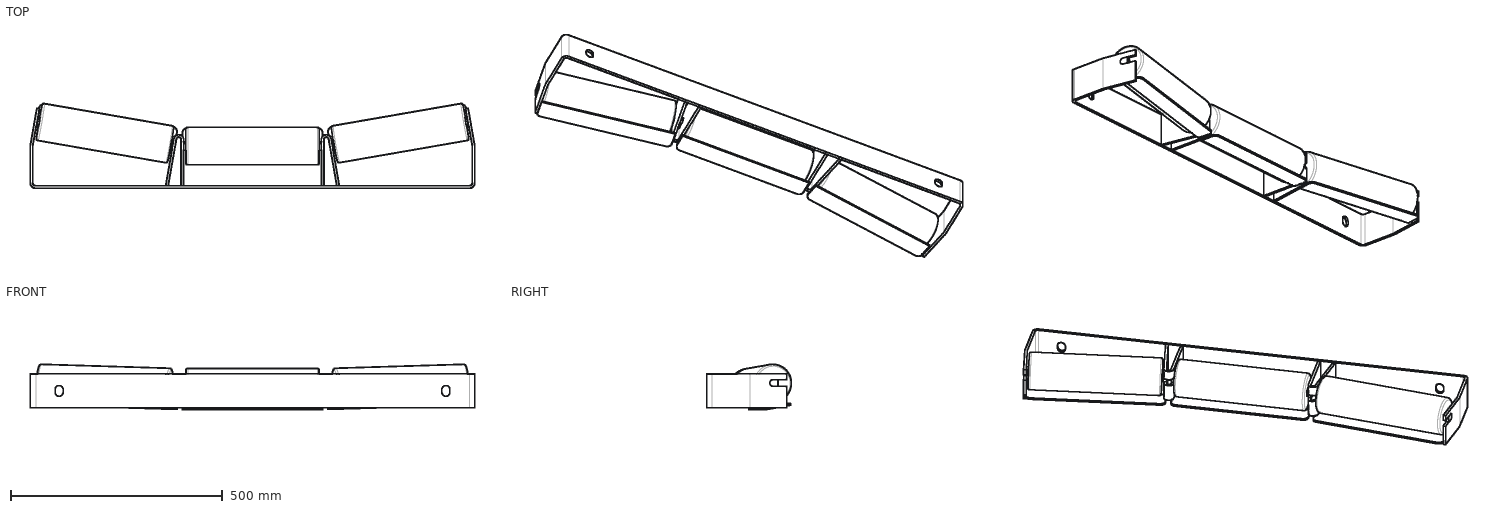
import cadquery as cq
import math

frame_length = 1050.0
frame_height = 80.0
sheet = 6.0
corner_radius = 13.0
bend_y = 102.0
plate_lean_length = 89.0
trough_angle = 10.0
mount_slot_width = 19.0
mount_slot_height = 25.0
mount_slot_inset = 68.0

bracket_inner_x = 163.0
bracket_top_y = 127.0
bracket_radius = 12.0

roller_diameter = 89.0
roller_length = 315.0
roller_edge_radius = 4.0
shaft_diameter = 20.0
shaft_flat_width = 16.0
shoulder_clearance = 0.5
shaft_end_root = 2.0
axis_y = 100.0
axis_z = 48.0
knee_x = 172.0
forward_tilt = 10.0

guard_width = 43.0
guard_thickness = 4.0
guard_corner_radius = 13.0

half_length = frame_length / 2
lean = math.radians(trough_angle)
tilt = math.radians(forward_tilt)
lean_cos = math.cos(lean)
lean_sin = math.sin(lean)
up = cq.Vector(0, 0, 1)
middle_direction = cq.Vector(1, 0, 0)
plate_normal = cq.Vector(lean_cos, lean_sin, 0)
side_direction = cq.Vector(lean_cos, lean_sin * math.cos(tilt), lean_sin * math.sin(tilt))

fold_x = bracket_inner_x + bracket_radius
fold_y = bracket_top_y - bracket_radius


def along_side(x, y):
    """Distance of a plan point measured square to the leaning plates."""
    return x * lean_cos + y * lean_sin


def axis_plane(center, direction):
    """Plane square to a shaft, with a level local X pointing to the slots' open side."""
    return cq.Plane(origin=center.toTuple(), xDir=up.cross(direction), normal=direction)


leg_face = along_side(fold_x, fold_y) + bracket_radius
end_plate_face = along_side(half_length, bend_y) - sheet
plate_share = side_direction.dot(plate_normal)
side_half_span = (end_plate_face - leg_face) / 2 / plate_share
side_reach = ((leg_face + end_plate_face) / 2 - along_side(knee_x, axis_y)) / plate_share

knee = cq.Vector(knee_x, axis_y, axis_z)
middle_plane = axis_plane(cq.Vector(0, axis_y, axis_z), middle_direction)
side_plane = axis_plane(knee + side_direction * side_reach, side_direction)


def shaft_seats(plane, normal, half_span):
    """Planes on the two plate faces that a shaft runs into, each pointing into its plate."""
    return [
        cq.Plane(
            origin=plane.toWorldCoords((0, 0, side * half_span)),
            xDir=up.cross(normal),
            normal=normal * side,
        )
        for side in (-1, 1)
    ]


middle_seats = shaft_seats(middle_plane, middle_direction, bracket_inner_x)
side_seats = shaft_seats(side_plane, plate_normal, side_half_span)


def mirrored(body):
    return body.mirror("YZ")


def make_shaft_end(seat, outer_edge, depth, root=0):
    """Flattened shaft end: round at its low side, cut straight at outer_edge.

    It runs from root before the seat to depth beyond it.
    """
    flat = shaft_flat_width / 2
    low_edge = -shaft_diameter / 2
    round_center = low_edge + flat
    return (
        cq.Workplane(seat)
        .workplane(offset=-root)
        .moveTo(outer_edge, flat)
        .lineTo(round_center, flat)
        .threePointArc((low_edge, 0), (round_center, -flat))
        .lineTo(outer_edge, -flat)
        .close()
        .extrude(root + depth)
    )


def cut_shaft_slots(body, seats):
    """Slots for the shaft ends, running out through the open edge of the plates."""
    slot_run = roller_diameter
    slot_depth = 2 * sheet
    for seat in seats:
        body = body.cut(make_shaft_end(seat, slot_run, slot_depth))
    return body


def make_frame():
    tip_x = half_length - plate_lean_length * lean_sin
    tip_y = bend_y + plate_lean_length * lean_cos
    inner_x = half_length - sheet
    inner_bend_y = bend_y - sheet * math.tan(lean / 2)
    half = (
        cq.Workplane("XY")
        .lineTo(half_length - corner_radius, 0)
        .radiusArc((half_length, corner_radius), -corner_radius)
        .lineTo(half_length, bend_y)
        .lineTo(tip_x, tip_y)
        .lineTo(tip_x - sheet * lean_cos, tip_y - sheet * lean_sin)
        .lineTo(inner_x, inner_bend_y)
        .lineTo(inner_x, corner_radius)
        .radiusArc((half_length - corner_radius, sheet), corner_radius - sheet)
        .lineTo(0, sheet)
        .close()
        .extrude(frame_height)
    )
    mount_slot = (
        cq.Workplane("XZ")
        .center(half_length - mount_slot_inset, frame_height / 2)
        .slot2D(mount_slot_height, mount_slot_width, 90)
        .extrude(-sheet)
    )
    half = cut_shaft_slots(half.cut(mount_slot), side_seats)
    return half.union(mirrored(half))


def make_bracket():
    """Right-hand bracket: one straight leg, a rounded fold and one leaning leg."""
    fold_inside = bracket_radius - sheet

    def leaning_leg(radius):
        """Top and foot of the leaning leg's face at this radius of the fold."""
        top = (fold_x + radius * lean_cos, fold_y + radius * lean_sin)
        foot = (top[0] + (top[1] - sheet) * math.tan(lean), sheet)
        return top, foot

    outer_top, outer_foot = leaning_leg(bracket_radius)
    inner_top, inner_foot = leaning_leg(fold_inside)
    bracket = (
        cq.Workplane("XY")
        .moveTo(bracket_inner_x, sheet)
        .lineTo(bracket_inner_x, fold_y)
        .threePointArc((fold_x, fold_y + bracket_radius), outer_top)
        .lineTo(*outer_foot)
        .lineTo(*inner_foot)
        .lineTo(*inner_top)
        .threePointArc((fold_x, fold_y + fold_inside), (bracket_inner_x + sheet, fold_y))
        .lineTo(bracket_inner_x + sheet, sheet)
        .close()
        .extrude(frame_height)
    )
    return cut_shaft_slots(bracket, middle_seats + side_seats)


def make_roller(plane, half_span, seats):
    """Roller with its shaft, whose flattened ends fill the plate slots flush."""

    def cylinder(diameter, length):
        return cq.Workplane(plane).workplane(offset=-length / 2).circle(diameter / 2).extrude(length)

    barrel = cylinder(roller_diameter, roller_length).edges().fillet(roller_edge_radius)
    roller = barrel.union(cylinder(shaft_diameter, 2 * (half_span - shoulder_clearance)))
    for seat in seats:
        roller = roller.union(make_shaft_end(seat, shaft_diameter / 2, sheet, shaft_end_root))
    return roller


def make_guard(plane, start, end):
    """Flat strip under a roller, with the outer corners rounded."""
    strip = (
        cq.Workplane(plane)
        .workplane(offset=start)
        .center(guard_width / 2, -axis_z - guard_thickness / 2)
        .rect(guard_width, guard_thickness)
        .extrude(end - start)
    )
    outer_face = cq.selectors.DirectionMinMaxSelector(plane.xDir)
    upright_edges = cq.selectors.ParallelDirSelector(plane.yDir)
    return strip.faces(outer_face).edges(upright_edges).fillet(guard_corner_radius)


frame = make_frame()
bracket = make_bracket()
brackets = [bracket, mirrored(bracket)]

middle_roller = make_roller(middle_plane, bracket_inner_x, middle_seats)
side_roller = make_roller(side_plane, side_half_span, side_seats)
rollers = [middle_roller, side_roller, mirrored(side_roller)]

middle_reach = bracket_inner_x + sheet / 2
middle_guard = make_guard(middle_plane, -middle_reach, middle_reach)
side_guard = make_guard(side_plane, -side_half_span - sheet, side_half_span)
side_guard = side_guard.cut(bracket).cut(frame)
guards = [middle_guard, side_guard, mirrored(side_guard)]

result = cq.Compound.makeCompound(
    [frame.val(), *[body.val() for body in brackets + rollers + guards]]
)